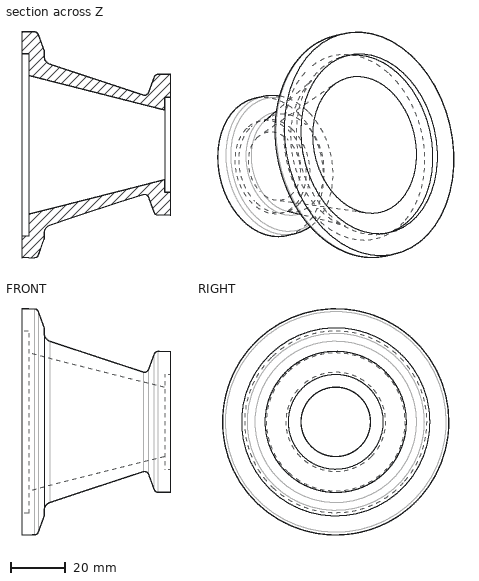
import cadquery as cq
import math

length = 54.59
large_flange_radius = 83.06 / 2
small_flange_radius = 51.82 / 2

large_seat_radius = 66.8 / 2
small_seat_radius = 34.8 / 2
large_seat_depth = 2.54
small_seat_depth = 2.1

large_bore_radius = 50.8 / 2
small_bore_radius = 25.4 / 2

rim_width = 5.7
back_taper_angle = 20
back_taper = math.tan(math.radians(back_taper_angle))
large_flange_thickness = 8.25

body_start_radius = 30.3
body_slope = 0.33

rim_round = 1.59
large_root_fillet = 3.0
small_root_fillet = 1.5

large_rim_corner = (rim_width, large_flange_radius)
large_taper_foot = (
    large_flange_thickness,
    large_flange_radius - (large_flange_thickness - rim_width) / back_taper,
)
large_root = (large_flange_thickness, body_start_radius)
small_rim_corner = (length - rim_width, small_flange_radius)

body_run = small_rim_corner[0] - large_flange_thickness
radius_at_small_rim = body_start_radius - body_slope * body_run
drop_to_cone = small_flange_radius - radius_at_small_rim
root_setback = drop_to_cone / (1 / back_taper + body_slope)
small_root = (
    small_rim_corner[0] - root_setback,
    radius_at_small_rim + body_slope * root_setback,
)


def revolve_about_x(points):
    """Turn a closed (position, radius) outline about the X axis."""
    profile = cq.Workplane("XY").polyline(points).close()
    return profile.revolve(360, (0, 0, 0), (1, 0, 0))


def round_circle(body, corner, radius):
    """Fillet the circular edge swept by a profile corner."""
    position, edge_radius = corner
    margin = 0.05
    box = cq.selectors.BoxSelector(
        (position - margin, -edge_radius - margin, -edge_radius - margin),
        (position + margin, edge_radius + margin, edge_radius + margin),
        boundingbox=True,
    )
    return body.edges("%CIRCLE").edges(box).fillet(radius)


def make_outer_body():
    body = revolve_about_x([
        (0, 0),
        (0, large_flange_radius),
        large_rim_corner,
        large_taper_foot,
        large_root,
        small_root,
        small_rim_corner,
        (length, small_flange_radius),
        (length, 0),
    ])
    body = round_circle(body, large_root, large_root_fillet)
    body = round_circle(body, small_root, small_root_fillet)
    for corner in (large_rim_corner, small_rim_corner):
        body = round_circle(body, corner, rim_round)
    return body


def make_bore():
    return revolve_about_x([
        (0, 0),
        (0, large_seat_radius),
        (large_seat_depth, large_seat_radius),
        (large_seat_depth, large_bore_radius),
        (length - small_seat_depth, small_bore_radius),
        (length - small_seat_depth, small_seat_radius),
        (length, small_seat_radius),
        (length, 0),
    ])


result = make_outer_body().cut(make_bore())